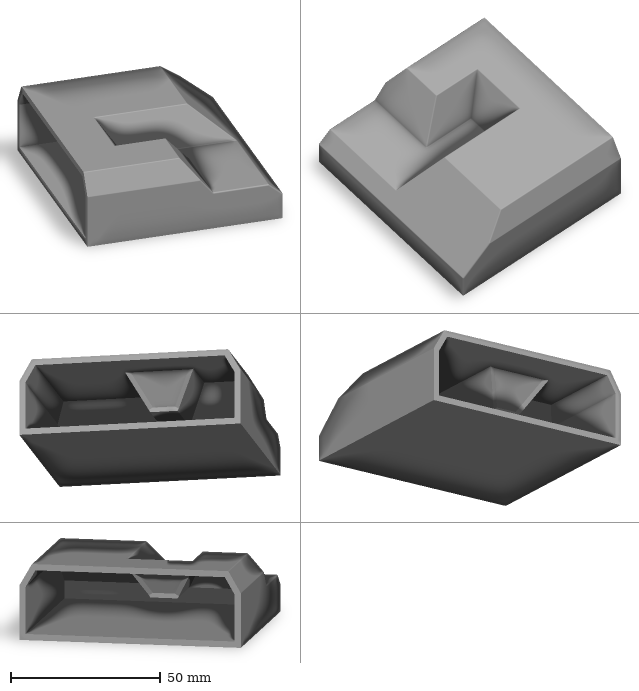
import cadquery as cq
import math

width = 75.64
depth = 68.9
height = 26.0
wall = 2.1
edge_radius = 0.5

bevel_angle = 60.0
bevel_height = 7.4

back_height = 9.2
slope_angle = 40.0

floor_height = 13.35
recess_wall = 1.6
lip_length = 2.1
recess_left = -4.05
recess_right = 18.05
recess_front = 16.0
block_back = 33.9
side_wall_angle = 60.0
front_wall_angle = 55.0
block_wall_angle = 50.2

margin = 10.0


def run(rise, angle):
    """Horizontal run of a face that climbs `rise` at `angle` from horizontal."""
    return rise / math.tan(math.radians(angle))


def level_shift(distance, angle):
    """Horizontal shift of a face at `angle` that moves `distance` square to itself."""
    return distance / math.sin(math.radians(angle))


def side_prism(points):
    """Y-Z outline extruded along X through the whole width, with clearance."""
    return (
        cq.Workplane("YZ")
        .polyline(points)
        .close()
        .extrude(width / 2 + margin, both=True)
    )


def front_prism(points):
    """X-Z outline extruded along Y through the whole depth, with clearance."""
    return (
        cq.Workplane("XZ")
        .workplane(offset=margin)
        .polyline(points)
        .close()
        .extrude(-(depth + 2 * margin))
    )


recess_depth = height - floor_height
floor_left = recess_left + run(recess_depth, side_wall_angle)
floor_right = recess_right - run(recess_depth, side_wall_angle)
floor_front = recess_front + run(recess_depth, front_wall_angle)

lip_front = floor_front - level_shift(recess_wall, front_wall_angle)

wall_normal_x = recess_wall * math.sin(math.radians(side_wall_angle))
wall_normal_z = recess_wall * math.cos(math.radians(side_wall_angle))


def make_envelope():
    """Bevelled block with the sloping back."""
    half = width / 2
    bevel_run = run(bevel_height, bevel_angle)
    shoulder = height - bevel_height
    section = front_prism([
        (-half, 0),
        (half, 0),
        (half, shoulder),
        (half - bevel_run, height),
        (bevel_run - half, height),
        (-half, shoulder),
    ])
    slope_run = run(height - back_height, slope_angle)
    profile = side_prism([
        (0, 0),
        (depth, 0),
        (depth, back_height),
        (depth - slope_run, height),
        (0, height),
    ])
    return section.intersect(profile)


def make_recess(growth=0.0):
    """Channel with sloped walls, less the block it turns around.

    `growth` moves every face of the channel outward, square to itself.
    """
    floor = floor_height - growth
    top = height + margin
    drop = height - floor
    climb = top - floor
    far_x = width / 2 + margin
    far_y = depth + margin

    left = recess_left + run(drop, side_wall_angle) - level_shift(growth, side_wall_angle)
    front = recess_front + run(drop, front_wall_angle) - level_shift(growth, front_wall_angle)
    right = recess_right - run(drop, side_wall_angle) + level_shift(growth, side_wall_angle)
    back = block_back + run(drop, block_wall_angle) - level_shift(growth, block_wall_angle)

    across = front_prism([
        (left, floor),
        (far_x, floor),
        (far_x, top),
        (left - run(climb, side_wall_angle), top),
    ])
    along = side_prism([
        (front, floor),
        (far_y, floor),
        (far_y, top),
        (front - run(climb, front_wall_angle), top),
    ])
    block_across = front_prism([
        (right, floor),
        (far_x, floor),
        (far_x, top),
        (right + run(climb, side_wall_angle), top),
    ])
    block_along = side_prism([
        (-margin, floor),
        (back, floor),
        (back - run(climb, block_wall_angle), top),
        (-margin, top),
    ])
    return across.intersect(along).cut(block_across.intersect(block_along))


def round_outside(body):
    """Round all edges but the front rim, the base and the recess front corners."""
    recess_corners = cq.selectors.BoxSelector(
        (recess_left, recess_front, floor_height),
        (recess_right, floor_front, height),
    )
    plain = body.faces("<Y or <Z").edges().vals()
    plain += body.edges(recess_corners).vals()
    chosen = [
        edge for edge in body.edges().vals()
        if not any(edge.isSame(other) for other in plain)
    ]
    return body.newObject(chosen).fillet(edge_radius)


def make_side_lip(corner_x, rim_x, outward):
    """Front end of a recess side wall, thickened square to that wall."""
    outline = cq.Wire.makePolygon([
        cq.Vector(corner_x, lip_front, floor_height),
        cq.Vector(rim_x, lip_front - floor_front + recess_front, height),
        cq.Vector(rim_x, lip_front + lip_length, height),
        cq.Vector(corner_x, lip_front + lip_length, floor_height),
    ], close=True)
    thickness = cq.Vector(outward * wall_normal_x, 0, -wall_normal_z)
    return cq.Workplane(cq.Solid.extrudeLinear(outline, [], thickness))


def make_floor_lip():
    """Front end of the recess floor, an upright face joining both side lips."""
    spread = recess_wall * math.tan(math.radians(side_wall_angle / 2))
    underside = floor_height - recess_wall
    return (
        cq.Workplane("XZ")
        .workplane(offset=-lip_front)
        .polyline([
            (floor_left, floor_height),
            (floor_right, floor_height),
            (floor_right + wall_normal_x, floor_height - wall_normal_z),
            (floor_right + spread, underside),
            (floor_left - spread, underside),
            (floor_left - wall_normal_x, floor_height - wall_normal_z),
        ])
        .close()
        .extrude(-lip_length)
    )


def make_cavity():
    """Inside of the shell, open at the front, with lips around the recess front."""
    envelope = make_envelope()
    hollow = envelope.faces("<Y").shell(-wall, kind="intersection")
    return (
        envelope.cut(hollow)
        .cut(make_recess(recess_wall))
        .cut(make_side_lip(floor_left, recess_left, -1))
        .cut(make_side_lip(floor_right, recess_right, 1))
        .cut(make_floor_lip())
    )


body = make_envelope().cut(make_recess())
result = round_outside(body).cut(make_cavity())